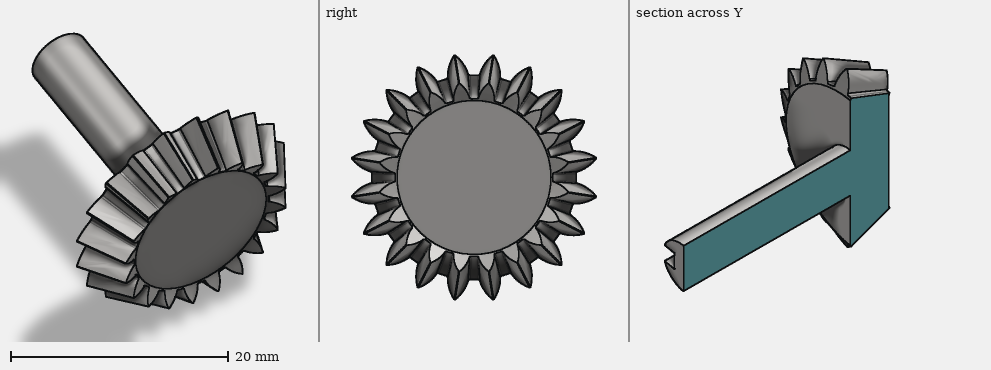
import cadquery as cq
import math


SHAFT_LENGTH = 20.0
SHAFT_RADIUS = 2.9
KEYWAY_WIDTH = 2.0
KEYWAY_FLOOR = 1.3

TOOTH_COUNT = 20
PITCH_RADIUS = 10.0
PITCH_ANGLE = math.atan(0.5)
BACK_DISC_RADIUS = 9.19
ROOT_RADIUS = 9.42
FILLET_TOP_RADIUS = 9.58
FLANK_MID_RADIUS = 10.4
TIP_RADIUS = 11.377
OVERALL_LENGTH = 25.51

ROOT_HALF_ANGLE = 6.8
FILLET_TOP_HALF_ANGLE = 5.75
FLANK_MID_HALF_ANGLE = 3.9
TIP_HALF_ANGLE = 0.25

GAP_OVERSHOOT = 1.5
END_OVERSHOOT = 1.0

TOOTH_PITCH = 360.0 / TOOTH_COUNT


def back_cone_x(radius):
    """X of a point of the given radius on the large-end back cone."""
    return SHAFT_LENGTH + (radius - BACK_DISC_RADIUS) * math.tan(PITCH_ANGLE)


APEX_X = back_cone_x(PITCH_RADIUS) + PITCH_RADIUS / math.tan(PITCH_ANGLE)
SMALL_END_RATIO = (APEX_X - OVERALL_LENGTH) / (APEX_X - back_cone_x(TIP_RADIUS))


def toward_apex(radius):
    """Small-end (x, radius) matching a large-end radius on the back cone."""
    x = APEX_X - (APEX_X - back_cone_x(radius)) * SMALL_END_RATIO
    return x, radius * SMALL_END_RATIO


def make_shaft():
    return cq.Workplane("YZ").circle(SHAFT_RADIUS).extrude(SHAFT_LENGTH)


def make_keyway():
    """Slot along the +Y side of the shaft, ending at the gear's back face."""
    depth = SHAFT_RADIUS - KEYWAY_FLOOR
    return (
        cq.Workplane("YZ")
        .center(KEYWAY_FLOOR + depth / 2, 0)
        .rect(depth, KEYWAY_WIDTH)
        .extrude(SHAFT_LENGTH)
    )


def make_blank():
    """Gear body before tooth cutting: tip cone between two back cones."""
    front_x, front_radius = toward_apex(BACK_DISC_RADIUS)
    profile = (
        cq.Workplane("XY")
        .moveTo(SHAFT_LENGTH, 0)
        .lineTo(SHAFT_LENGTH, BACK_DISC_RADIUS)
        .lineTo(back_cone_x(TIP_RADIUS), TIP_RADIUS)
        .lineTo(*toward_apex(TIP_RADIUS))
        .lineTo(front_x, front_radius)
        .lineTo(front_x, 0)
        .close()
    )
    return profile.revolve(360, (0, 0, 0), (1, 0, 0))


def gap_point(plane_x, radius, tooth_half_angle, side):
    """Back-cone point of a gap flank, carried along its apex ray to a plane X = plane_x."""
    scale = (APEX_X - plane_x) / (APEX_X - back_cone_x(radius))
    angle = side * math.radians(TOOTH_PITCH / 2 - tooth_half_angle)
    return cq.Vector(
        plane_x,
        radius * scale * math.cos(angle),
        radius * scale * math.sin(angle),
    )


def gap_section(plane_x):
    """Closed outline of one tooth gap, centred on +Y, in the plane X = plane_x."""
    def flank_pair(radius, tooth_half_angle):
        return [gap_point(plane_x, radius, tooth_half_angle, side) for side in (-1, 1)]

    root_middle = gap_point(plane_x, ROOT_RADIUS, TOOTH_PITCH / 2, 1)
    root = flank_pair(ROOT_RADIUS, ROOT_HALF_ANGLE)
    fillet_top = flank_pair(FILLET_TOP_RADIUS, FILLET_TOP_HALF_ANGLE)
    flank_middle = flank_pair(FLANK_MID_RADIUS, FLANK_MID_HALF_ANGLE)
    tip = flank_pair(TIP_RADIUS, TIP_HALF_ANGLE)
    outer = [point + cq.Vector(0, GAP_OVERSHOOT, 0) for point in tip]

    edges = [
        cq.Edge.makeThreePointArc(root[0], root_middle, root[1]),
        cq.Edge.makeLine(outer[0], outer[1]),
    ]
    for i, side in enumerate((-1, 1)):
        root_tangent = cq.Vector(0, -root[i].z, root[i].y) * side
        edges += [
            cq.Edge.makeTangentArc(root[i], root_tangent, fillet_top[i]),
            cq.Edge.makeThreePointArc(fillet_top[i], flank_middle[i], tip[i]),
            cq.Edge.makeLine(tip[i], outer[i]),
        ]
    return cq.Wire.combine(edges)[0]


def make_gap_cutter():
    """Tapered cutter for one tooth gap; all its rulings meet at the apex."""
    large_end = gap_section(SHAFT_LENGTH - END_OVERSHOOT)
    small_end = gap_section(OVERALL_LENGTH + END_OVERSHOOT)
    return cq.Solid.makeLoft([large_end, small_end], True)


def make_gear():
    gear = make_blank()
    cutter = make_gap_cutter()
    axis_start = cq.Vector(0, 0, 0)
    axis_end = cq.Vector(1, 0, 0)
    for index in range(TOOTH_COUNT):
        gear = gear.cut(cq.Workplane(cutter.rotate(axis_start, axis_end, index * TOOTH_PITCH)))
    return gear


keyed_shaft = make_shaft().cut(make_keyway())
result = make_gear().union(keyed_shaft)